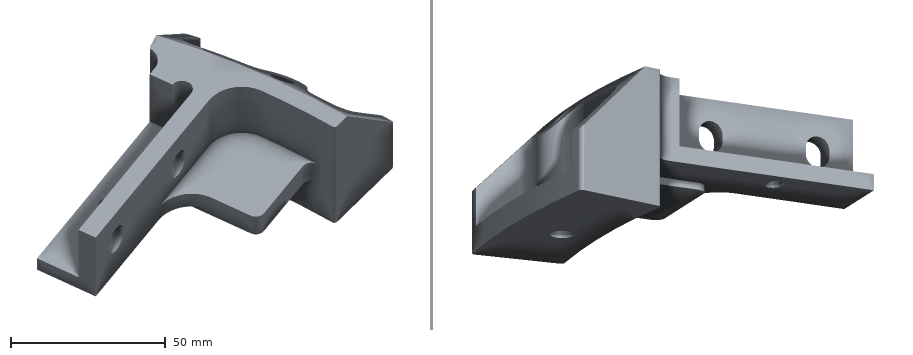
import cadquery as cq
import math


HEIGHT = 46.4
LENGTH = 114.2
OUTER_R = 288.9
ARC_CENTRE_Y = LENGTH - OUTER_R
HEAD_DEPTH = 31.7
INNER_R = OUTER_R - HEAD_DEPTH
BEVEL = 25.3
LEFT_ANGLE = -9.5
RIGHT_ANGLE = 6.0
OUTER_CORNER_R = 1.5
INNER_CORNER_R = 1.1

RIM = 5.1
POCKET_FLOOR_Z = 8.2
POCKET_R = 268.8
POCKET_CORNER_R = 6.3
BOSS_R = 8.1
HOLE_D = 7.8
HOLE_X = -1.6
HOLE_Y = 95.0

STEM_LEFT = -36.4
STEM_RIGHT = -14.2
STEM_BOTTOM = 17.9
WALL_LEFT = -20.7
LEDGE_TOP = 23.4
LEDGE_END_Y = 69.6
RELIEF_R = 3.5
STEM_LEFT_FILLET = 6.3
STEM_RIGHT_FILLET = 12.6

WALL_SLOT_YS = (12.7, 50.9)
WALL_SLOT_Z = 33.7
WALL_SLOT_HEIGHT = 10.5
WALL_SLOT_WIDTH = 8.5
LEDGE_SLOT_X = -28.3
LEDGE_SLOT_Y = 31.6
LEDGE_SLOT_LENGTH = 7.4
LEDGE_SLOT_WIDTH = 5.0

PLATE_LEFT = -19.4
PLATE_RIGHT = 16.2
PLATE_FRONT_Y = 51.4
PLATE_BOTTOM = 15.5
PLATE_TOP = 24.1
PLATE_CORNER_R = 3.2
PLATE_ROOT_INSET = 2 * INNER_CORNER_R

OVERLAP = 3.4
CLEARANCE = 5.7


def polar(radius, angle):
    """Point at a radius about the arc centre, angle in degrees from +Y."""
    a = math.radians(angle)
    return radius * math.sin(a), ARC_CENTRE_Y + radius * math.cos(a)


def arc_y(radius, x):
    """Y of a head arc at a given X."""
    return ARC_CENTRE_Y + math.sqrt(radius**2 - x**2)


def block(x0, x1, y0, y1, z0, z1):
    return cq.Workplane("XY").box(x1 - x0, y1 - y0, z1 - z0, centered=False).translate((x0, y0, z0))


def upright_edge(x, y, z0, z1, reach=0.2):
    """Selector for the vertical edge that passes through (x, y)."""
    return cq.selectors.BoxSelector(
        (x - reach, y - reach, z0 - reach), (x + reach, y + reach, z1 + reach)
    )


def sector(inner_r, outer_r, inset, z0, z1):
    """Arc-shaped block whose radial sides are moved inwards by inset."""
    def side(radius, limit, sign):
        return polar(radius, limit + sign * math.degrees(math.asin(inset / radius)))

    middle = (LEFT_ANGLE + RIGHT_ANGLE) / 2
    return (
        cq.Workplane("XY", origin=(0, 0, z0))
        .moveTo(*side(inner_r, LEFT_ANGLE, 1))
        .lineTo(*side(outer_r, LEFT_ANGLE, 1))
        .threePointArc(polar(outer_r, middle), side(outer_r, RIGHT_ANGLE, -1))
        .lineTo(*side(inner_r, RIGHT_ANGLE, -1))
        .threePointArc(polar(inner_r, middle), side(inner_r, LEFT_ANGLE, 1))
        .close()
        .extrude(z1 - z0)
    )


def round_corners(body, head_r, corner_r):
    """Round the two upright head corners at a given head radius."""
    for angle in (LEFT_ANGLE, RIGHT_ANGLE):
        x, y = polar(head_r, angle)
        body = body.edges(upright_edge(x, y, 0, HEIGHT)).fillet(corner_r)
    return body


def make_bevel():
    """Ring that cuts the conical slope on the outer top of the head."""
    reach = BEVEL + CLEARANCE
    ridge_r = OUTER_R - BEVEL
    return (
        cq.Workplane("XZ")
        .polyline([(ridge_r, HEIGHT), (ridge_r + reach, HEIGHT), (ridge_r + reach, HEIGHT - reach)])
        .close()
        .revolve(360, (0, 0, 0), (0, 1, 0))
        .translate((0, ARC_CENTRE_Y, 0))
    )


def make_pocket():
    pocket = sector(POCKET_R, OUTER_R + CLEARANCE, RIM, POCKET_FLOOR_Z, HEIGHT)
    boss = cq.Workplane("XY").center(HOLE_X, HOLE_Y).circle(BOSS_R).extrude(HEIGHT)
    pocket = pocket.cut(boss)
    inside = cq.selectors.BoxSelector(
        (-OUTER_R, 0, 0), (OUTER_R, HOLE_Y + BOSS_R / 2, HEIGHT)
    )
    return pocket.edges("|Z").edges(inside).fillet(POCKET_CORNER_R)


def add_stem(head):
    stem = block(
        STEM_LEFT, STEM_RIGHT, 0, arc_y(INNER_R, STEM_LEFT) + OVERLAP, STEM_BOTTOM, HEIGHT
    )
    root = upright_edge(STEM_RIGHT, arc_y(INNER_R, STEM_RIGHT), STEM_BOTTOM, HEIGHT)
    return head.union(stem).edges(root).fillet(STEM_RIGHT_FILLET)


def make_left_fillet():
    """Concave fillet tangent to the left stem side and to the rounded head corner."""
    r = STEM_LEFT_FILLET
    inset_angle = math.degrees(math.asin(INNER_CORNER_R / (INNER_R + INNER_CORNER_R)))
    corner_x, corner_y = polar(INNER_R + INNER_CORNER_R, LEFT_ANGLE + inset_angle)
    x = STEM_LEFT - r
    y = corner_y - math.sqrt((r + INNER_CORNER_R) ** 2 - (corner_x - x) ** 2)
    tangent_x = x + (corner_x - x) * r / (r + INNER_CORNER_R)
    filling = block(
        tangent_x, STEM_LEFT, y, arc_y(INNER_R, STEM_LEFT) + INNER_CORNER_R, STEM_BOTTOM, HEIGHT
    )
    hollow = cq.Workplane("XY").center(x, y).circle(r).extrude(HEIGHT)
    return filling.cut(hollow)


def make_ledge_cut():
    """Space above the ledge, with a round relief in the corner by the wall."""
    space = block(
        STEM_LEFT - CLEARANCE, WALL_LEFT, -CLEARANCE, LEDGE_END_Y, LEDGE_TOP, HEIGHT
    )
    relief = (
        cq.Workplane("XY", origin=(WALL_LEFT - RELIEF_R, LEDGE_END_Y, LEDGE_TOP))
        .circle(RELIEF_R)
        .extrude(HEIGHT - LEDGE_TOP)
    )
    return space.union(relief)


def make_plate():
    """Plate with rounded free corners and filleted roots."""
    plate = block(
        PLATE_LEFT, PLATE_RIGHT, PLATE_FRONT_Y, arc_y(INNER_R, PLATE_LEFT) + OVERLAP,
        PLATE_BOTTOM, PLATE_TOP,
    )
    root = sector(INNER_R, INNER_R + OVERLAP, PLATE_ROOT_INSET, 0, HEIGHT)
    body = root.union(plate)
    for x in (PLATE_LEFT, PLATE_RIGHT):
        for y in (PLATE_FRONT_Y, arc_y(INNER_R, x)):
            body = body.edges(upright_edge(x, y, PLATE_BOTTOM, PLATE_TOP)).fillet(PLATE_CORNER_R)
    return body


def make_gusset():
    """Concave corner between the stem side and the front of the plate."""
    r = STEM_RIGHT_FILLET
    corner = block(
        STEM_RIGHT, STEM_RIGHT + r, PLATE_FRONT_Y - r, PLATE_FRONT_Y, STEM_BOTTOM, PLATE_TOP
    )
    hollow = (
        cq.Workplane("XY").center(STEM_RIGHT + r, PLATE_FRONT_Y - r).circle(r).extrude(HEIGHT)
    )
    return corner.cut(hollow)


def make_holes():
    holes = cq.Workplane("XY").center(HOLE_X, HOLE_Y).circle(HOLE_D / 2).extrude(HEIGHT)
    ledge_slot = (
        cq.Workplane("XY")
        .center(LEDGE_SLOT_X, LEDGE_SLOT_Y)
        .slot2D(LEDGE_SLOT_LENGTH, LEDGE_SLOT_WIDTH)
        .extrude(HEIGHT)
    )
    wall_slots = (
        cq.Workplane("YZ", origin=(STEM_LEFT, 0, 0))
        .pushPoints([(y, WALL_SLOT_Z) for y in WALL_SLOT_YS])
        .slot2D(WALL_SLOT_HEIGHT, WALL_SLOT_WIDTH, 90)
        .extrude(STEM_RIGHT - STEM_LEFT + CLEARANCE)
    )
    return holes.union(ledge_slot).union(wall_slots)


head = sector(INNER_R, OUTER_R, 0, 0, HEIGHT)
head = round_corners(head, OUTER_R, OUTER_CORNER_R)
head = round_corners(head, INNER_R, INNER_CORNER_R)
result = (
    add_stem(head)
    .union(make_left_fillet())
    .union(make_plate())
    .union(make_gusset())
    .cut(make_bevel())
    .cut(make_pocket())
    .cut(make_ledge_cut())
    .cut(make_holes())
)